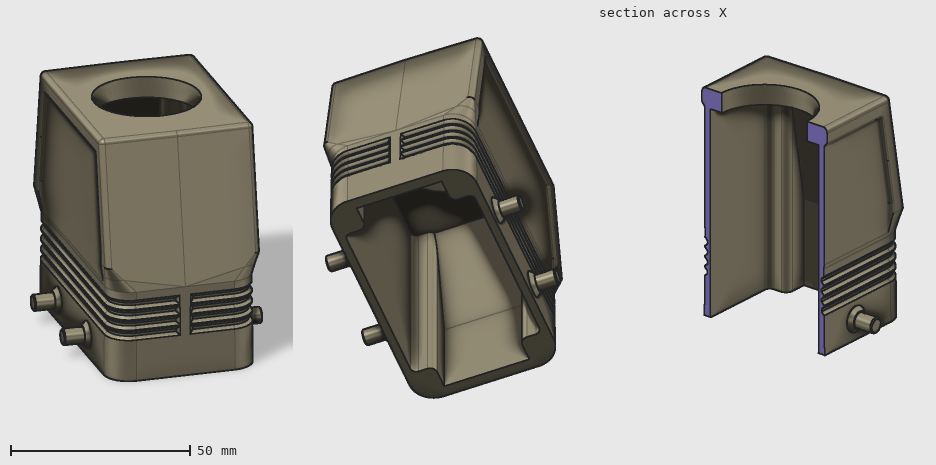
import cadquery as cq
import math

HEIGHT = 70.0
SHOULDER_Z = 26.6
FLARE_BREAK_Z = 30.15
FLARE_TOP_Z = 33.6

BASE_HALF_X = 36.5
BASE_HALF_Y = 21.7
BASE_CORNER_R = 7.3
SKIRT_DRAFT = 0.3

GROOVE_COUNT = 4
GROOVES_TOP_Z = 24.1
GROOVE_PITCH = 3.1
GROOVE_MOUTH = 2.7
GROOVE_DEPTH = 0.95
WEB_HALF_WIDTH = 1.3

HOOD_HALF_Y = 22.55
END_SLOPE = math.tan(math.radians(10))
END_BEND = 0.4
EDGE_R = 1.5

PANEL_DEPTH = 0.95
PANEL_TOP_Z = 65.1
PANEL_KINK_Z = 36.7
PANEL_FOOT_Z = 24.8
PANEL_HALF_TOP = 24.45
PANEL_HALF_FOOT = 29.2
PANEL_WALL_RUN = 0.9
PANEL_CORNER_R = 1.45
PANEL_LIP_R = 0.7

ENTRY_DIAMETER = 30.6
ROOF_THICKNESS = 6.2
END_WALL = 2.9
CAVITY_HALF_Y = 19.35
CAVITY_CORNER_R = 1.75
POST_FACE_X = 25.85
POST_FACE_Y = 12.8
POST_EDGE_R = 2.2

PIN_SPAN = 58.0
PIN_HALF_SPACING = 13.8
PIN_Z = 6.35
PIN_R = 2.3
PIN_CHAMFER = 0.4
COLLAR_FOOT_R = 3.95
COLLAR_TIP_R = 2.7
COLLAR_LENGTH = 1.4

SELECT_MARGIN = 0.1

SHOULDER_HALF_X = BASE_HALF_X - SKIRT_DRAFT
SHOULDER_HALF_Y = BASE_HALF_Y - SKIRT_DRAFT
SHOULDER_CORNER_R = BASE_CORNER_R - SKIRT_DRAFT


def end_half_x(z):
    """Half length of the hood on its middle line at height z."""
    return SHOULDER_HALF_X - END_SLOPE * (z - SHOULDER_Z)


def rounded_wire(z, half_x, half_y, radius):
    """Horizontal rounded rectangle at height z."""
    corners = [(half_x, half_y), (-half_x, half_y), (-half_x, -half_y), (half_x, -half_y)]
    outline = cq.Wire.makePolygon([cq.Vector(x, y, z) for x, y in corners], close=True)
    return outline.fillet2D(radius, outline.Vertices())


def skirt_wire(z, depth=0):
    """Skirt outline at height z, sunk by depth below its drafted surface."""
    inset = SKIRT_DRAFT * z / SHOULDER_Z + depth
    return rounded_wire(z, BASE_HALF_X - inset, BASE_HALF_Y - inset, BASE_CORNER_R - inset)


def ruled_loft(wires):
    """Solid with straight-ruled faces through the given outlines."""
    return cq.Workplane(obj=cq.Solid.makeLoft(wires, True))


def make_skirt():
    """Drafted skirt with grip grooves, interrupted by an upright web at each end."""
    levels = [(0, 0)]
    for i in reversed(range(GROOVE_COUNT)):
        top = GROOVES_TOP_Z - i * GROOVE_PITCH
        bottom = top - GROOVE_MOUTH
        levels += [
            (bottom, 0),
            (bottom + GROOVE_DEPTH, GROOVE_DEPTH),
            (top - GROOVE_DEPTH, GROOVE_DEPTH),
            (top, 0),
        ]
    levels.append((SHOULDER_Z, 0))
    grooved = ruled_loft([skirt_wire(z, depth) for z, depth in levels])

    root_inset = 2 * GROOVE_DEPTH
    root_x = BASE_HALF_X - root_inset
    web_zone = (
        cq.Workplane("XY")
        .moveTo(root_x, -WEB_HALF_WIDTH - root_inset)
        .lineTo(BASE_HALF_X, -WEB_HALF_WIDTH)
        .lineTo(BASE_HALF_X, WEB_HALF_WIDTH)
        .lineTo(root_x, WEB_HALF_WIDTH + root_inset)
        .close()
        .extrude(SHOULDER_Z)
    )
    plain = ruled_loft([skirt_wire(0), skirt_wire(SHOULDER_Z)])
    webs = plain.intersect(web_zone.union(web_zone.mirror("YZ")))
    return grooved.union(webs)


def make_full_hood():
    """Six-sided tapered hood from shoulder to roof with rounded corners and roof edge."""

    def section(z):
        middle = end_half_x(z)
        corner = middle - END_BEND
        points = [
            (middle, 0), (corner, HOOD_HALF_Y), (-corner, HOOD_HALF_Y),
            (-middle, 0), (-corner, -HOOD_HALF_Y), (corner, -HOOD_HALF_Y),
        ]
        return cq.Wire.makePolygon([cq.Vector(x, y, z) for x, y in points], close=True)

    hood = ruled_loft([section(SHOULDER_Z), section(HEIGHT)])
    corners_and_roof = "((>Y or <Y) and (not <Z)) or >Z"
    return hood.edges(corners_and_roof).fillet(EDGE_R)


def make_shell_body():
    """Hood on top of the flare that blends its small corners into the large skirt corners."""
    full_hood = make_full_hood()
    above_flare = (
        cq.Workplane("XY", origin=(0, 0, FLARE_TOP_Z))
        .rect(2 * BASE_HALF_X, 2 * HOOD_HALF_Y)
        .extrude(HEIGHT - FLARE_TOP_Z)
    )
    upper = full_hood.intersect(above_flare)
    end_flat_half = HOOD_HALF_Y - EDGE_R

    def flare_wire(z):
        rise = (z - SHOULDER_Z) / (FLARE_TOP_Z - SHOULDER_Z)
        half_y = SHOULDER_HALF_Y + rise * (HOOD_HALF_Y - SHOULDER_HALF_Y)
        radius = SHOULDER_CORNER_R + rise * (EDGE_R - SHOULDER_CORNER_R)
        half_x = end_half_x(z) - END_BEND * (half_y - radius) / HOOD_HALF_Y
        return rounded_wire(z, half_x, half_y, radius)

    flare = ruled_loft([
        rounded_wire(SHOULDER_Z, SHOULDER_HALF_X, SHOULDER_HALF_Y, SHOULDER_CORNER_R),
        flare_wire(FLARE_BREAK_Z),
        flare_wire(FLARE_TOP_Z),
    ])
    shoulder_flat_half = SHOULDER_HALF_Y - SHOULDER_CORNER_R
    end_zone = (
        cq.Workplane("YZ", origin=(-BASE_HALF_X, 0, 0))
        .polyline([
            (-shoulder_flat_half, SHOULDER_Z), (shoulder_flat_half, SHOULDER_Z),
            (end_flat_half, FLARE_TOP_Z), (-end_flat_half, FLARE_TOP_Z),
        ])
        .close()
        .extrude(2 * BASE_HALF_X)
    )
    return upper.union(flare).union(full_hood.intersect(end_zone))


def make_panel_cutter():
    """Shallow recess in the -Y side with sloping walls; it runs out through the flare."""

    def outline(y, inset):
        top = PANEL_TOP_Z - inset
        half_top = PANEL_HALF_TOP - inset
        half_foot = PANEL_HALF_FOOT - inset
        points = [
            (-half_foot, PANEL_FOOT_Z), (half_foot, PANEL_FOOT_Z), (half_foot, PANEL_KINK_Z),
            (half_top, top), (-half_top, top), (-half_foot, PANEL_KINK_Z),
        ]
        return cq.Wire.makePolygon([cq.Vector(x, y, z) for x, z in points], close=True)

    floor_y = PANEL_DEPTH - HOOD_HALF_Y
    cutter = ruled_loft([outline(-HOOD_HALF_Y, 0), outline(floor_y, PANEL_WALL_RUN)])
    top_corners = cq.selectors.BoxSelector(
        (-PANEL_HALF_FOOT, -HOOD_HALF_Y, PANEL_TOP_Z - 2 * PANEL_WALL_RUN),
        (PANEL_HALF_FOOT, floor_y, PANEL_TOP_Z - PANEL_WALL_RUN / 4),
    )
    cutter = cutter.edges("not #Y").edges(top_corners).fillet(PANEL_CORNER_R)
    return cutter.faces(">Y").edges().fillet(PANEL_LIP_R)


def make_cavity():
    """Open-bottomed cavity with corner posts; the middle bay reaches the sloping end walls."""
    ceiling_z = HEIGHT - ROOF_THICKNESS
    foot_half = end_half_x(0) - END_WALL
    ceiling_half = end_half_x(ceiling_z) - END_WALL
    sloping_ends = (
        cq.Workplane("XZ", origin=(0, BASE_HALF_Y, 0))
        .polyline([(-foot_half, 0), (foot_half, 0), (ceiling_half, ceiling_z), (-ceiling_half, ceiling_z)])
        .close()
        .extrude(2 * BASE_HALF_Y)
    )
    cavity_half_x = SHOULDER_HALF_X - END_WALL
    middle_bay = cq.Workplane("XY").rect(2 * cavity_half_x, 2 * POST_FACE_Y).extrude(ceiling_z)
    wide_bay = cq.Workplane("XY").rect(2 * POST_FACE_X, 2 * CAVITY_HALF_Y).extrude(ceiling_z)
    wide_bay = wide_bay.edges("|Z").fillet(CAVITY_CORNER_R)
    post_edges = cq.selectors.BoxSelector(
        (-POST_FACE_X - SELECT_MARGIN, -POST_FACE_Y - SELECT_MARGIN, 0),
        (POST_FACE_X + SELECT_MARGIN, POST_FACE_Y + SELECT_MARGIN, ceiling_z),
    )
    prism = middle_bay.union(wide_bay).edges("|Z").edges(post_edges).fillet(POST_EDGE_R)
    entry = cq.Workplane("XY", origin=(0, 0, ceiling_z)).circle(ENTRY_DIAMETER / 2).extrude(ROOF_THICKNESS)
    return prism.intersect(sloping_ends).union(entry)


def make_pin(x, side):
    """Chamfered pin with a conical collar on the wall; side is +1 or -1 along Y."""
    root = CAVITY_HALF_Y
    tip = PIN_SPAN / 2
    collar_tip = BASE_HALF_Y + COLLAR_LENGTH
    half_profile = [
        (0, root), (COLLAR_FOOT_R, root), (COLLAR_FOOT_R, BASE_HALF_Y), (COLLAR_TIP_R, collar_tip),
        (PIN_R, collar_tip), (PIN_R, tip - PIN_CHAMFER), (PIN_R - PIN_CHAMFER, tip), (0, tip),
    ]
    pin = cq.Workplane("XY").polyline(half_profile).close().revolve(360, (0, 0, 0), (0, 1, 0))
    if side < 0:
        pin = pin.mirror("XZ")
    return pin.translate((x, 0, PIN_Z))


def round_panel_rim(solid, side):
    """Round the rim of the recessed panel on one side; side is +1 or -1 along Y."""
    rim_y = side * HOOD_HALF_Y
    rim = cq.selectors.BoxSelector(
        (-PANEL_HALF_FOOT - SELECT_MARGIN, rim_y - SELECT_MARGIN, FLARE_TOP_Z),
        (PANEL_HALF_FOOT + SELECT_MARGIN, rim_y + SELECT_MARGIN, PANEL_TOP_Z + SELECT_MARGIN),
    )
    return solid.edges(rim).fillet(PANEL_LIP_R)


body = make_skirt().union(make_shell_body())

panel_cutter = make_panel_cutter()
body = body.cut(panel_cutter).cut(panel_cutter.mirror("XZ"))

for side in (-1, 1):
    body = round_panel_rim(body, side)
    for pin_x in (-PIN_HALF_SPACING, PIN_HALF_SPACING):
        body = body.union(make_pin(pin_x, side))

result = body.cut(make_cavity())